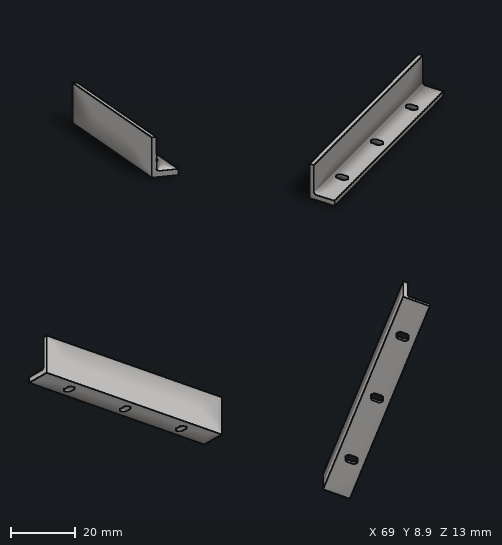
import cadquery as cq

length = 69.0
depth = 8.9
height = 13.0

upright_thickness = 1.6
base_thickness = 2.0
corner_radius = 1.0

slot_count = 3
slot_spacing = 22.0
first_slot_from_end = (length - (slot_count - 1) * slot_spacing) / 2
slot_width = 2.4
slot_length = 4.1
slot_center_from_front = 4.6


def angle_bar():
    """L-shaped bar along X, upright at the front and base at the bottom."""
    profile = (
        cq.Workplane("YZ")
        .moveTo(0, 0)
        .lineTo(depth, 0)
        .lineTo(depth, base_thickness)
        .lineTo(upright_thickness + corner_radius, base_thickness)
        .radiusArc((upright_thickness, base_thickness + corner_radius), corner_radius)
        .lineTo(upright_thickness, height)
        .lineTo(0, height)
        .close()
    )
    return profile.extrude(length)


def slot_cutters():
    """Upright slot-shaped bodies, evenly spaced along the base."""
    centers = [
        (first_slot_from_end + i * slot_spacing, slot_center_from_front)
        for i in range(slot_count)
    ]
    return (
        cq.Workplane("XY")
        .pushPoints(centers)
        .slot2D(slot_length, slot_width, 90)
        .extrude(height)
    )


result = angle_bar().cut(slot_cutters())